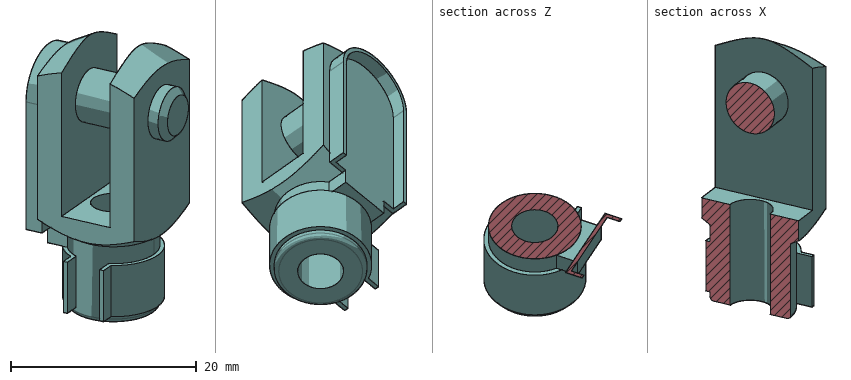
import cadquery as cq
import math

total_height = 31.0
pin_axis_height = 24.0
slot_floor_height = 12.0
neck_height = 9.0
band_top = 7.0
band_bottom = 1.0

fork_width = 12.0
slot_width = 6.0
bevel_angle = 30.0
neck_diameter = 10.0
neck_fillet = 0.5
bore_diameter = 4.93

overall_length = 16.0
pin_diameter = 6.0
pin_chamfer = 0.75

sheet = 0.5
clip_width = 10.0
tongue_width = 6.0
tab_gap = 4.0
tab_projection = 0.5

half_fork = fork_width / 2
neck_radius = neck_diameter / 2
end_overhang = (overall_length - fork_width) / 2
band_radius = neck_radius + sheet
band_height = band_top - band_bottom
bevel_slope = math.tan(math.radians(bevel_angle))


def block(x_min, x_max, y_min, y_max, z_min, z_max):
    """Box between the given limits."""
    size = (x_max - x_min, y_max - y_min, z_max - z_min)
    return cq.Workplane("XY").box(*size, centered=False).translate((x_min, y_min, z_min))


def make_fork():
    """Square fork with conical bevels at both ends, slotted from the top."""
    slot_half = slot_width / 2
    envelope_radius = fork_width
    lower_rise = (envelope_radius - neck_radius) * bevel_slope
    upper_drop = (envelope_radius - slot_half) * bevel_slope
    envelope = (
        cq.Workplane("XZ")
        .moveTo(0, neck_height)
        .lineTo(neck_radius, neck_height)
        .lineTo(envelope_radius, neck_height + lower_rise)
        .lineTo(envelope_radius, total_height - upper_drop)
        .lineTo(slot_half, total_height)
        .lineTo(0, total_height)
        .close()
        .revolve(360, (0, 0, 0), (0, 1, 0))
    )
    bar = block(-half_fork, half_fork, -half_fork, half_fork, neck_height, total_height)
    slot = block(-slot_half, slot_half, -half_fork, half_fork, slot_floor_height, total_height)
    return bar.intersect(envelope).cut(slot)


def make_neck():
    """Round neck below the fork, rounded at its lower rim."""
    neck = cq.Workplane("XY").circle(neck_radius).extrude(neck_height)
    return neck.faces("<Z").edges().fillet(neck_fillet)


def make_bore():
    """Bore along the neck, opening into the slot."""
    return cq.Workplane("XY").circle(bore_diameter / 2).extrude(slot_floor_height)


def make_pin():
    """Cross pin through both fork arms, chamfered at its free end."""
    return (
        cq.Workplane("YZ", origin=(-half_fork, 0, 0))
        .center(0, pin_axis_height)
        .circle(pin_diameter / 2)
        .extrude(fork_width + end_overhang)
        .faces(">X")
        .edges()
        .chamfer(pin_chamfer)
    )


def arched_plate(half_width, x_min, x_max):
    """Upright plate with a semicircular top centred on the pin axis."""
    return (
        cq.Workplane("YZ", origin=(x_min, 0, 0))
        .moveTo(-half_width, neck_height)
        .lineTo(half_width, neck_height)
        .lineTo(half_width, pin_axis_height)
        .threePointArc((0, pin_axis_height + half_width), (-half_width, pin_axis_height))
        .close()
        .extrude(x_max - x_min)
    )


def make_clip_plate():
    """Rimmed plate on the fork's side with a tongue reaching down to the band."""
    outer_face = -half_fork - end_overhang
    web_face = -half_fork - sheet
    plate = arched_plate(clip_width / 2, outer_face, -half_fork)
    recess = arched_plate(clip_width / 2 - sheet, outer_face, web_face)
    tongue_half = tongue_width / 2
    tongue = block(web_face, -bore_diameter / 2, -tongue_half, tongue_half, band_top, neck_height)
    return plate.cut(recess).union(tongue)


def make_clip_band():
    """Open band around the neck, ending in two tabs on the -Y side."""
    gap_half = tab_gap / 2
    tab_end = -half_fork - tab_projection
    band = cq.Workplane("XY", origin=(0, 0, band_bottom)).circle(band_radius).extrude(band_height)
    band = band.cut(block(-gap_half, gap_half, -band_radius, 0, band_bottom, band_top))
    tab = block(gap_half, gap_half + sheet, tab_end, -neck_radius / 2, band_bottom, band_top)
    return band.union(tab).union(tab.mirror("YZ"))


result = (
    make_fork()
    .union(make_neck())
    .union(make_clip_band())
    .union(make_clip_plate())
    .cut(make_bore())
    .union(make_pin())
)